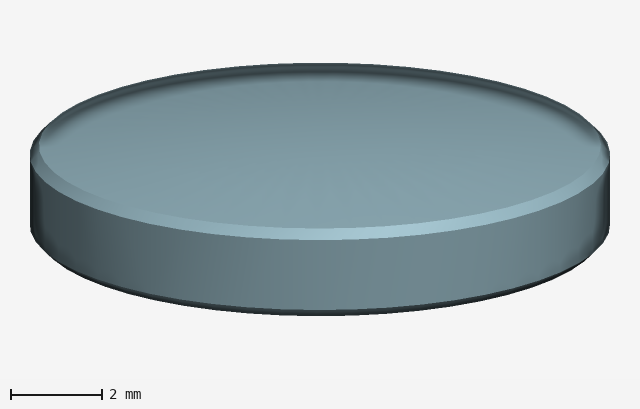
import cadquery as cq

diameter = 12.7
center_thickness = 2.73
bevel = 0.2
cylinder_height = 1.6

rim_radius = diameter / 2
face_radius = rim_radius - bevel
half_thickness = center_thickness / 2
half_cylinder = cylinder_height / 2
face_edge_z = half_cylinder + bevel

dome_rise = half_thickness - face_edge_z
sphere_radius = (face_radius**2 + dome_rise**2) / (2 * dome_rise)

mid_radius = face_radius / 2
mid_z = half_thickness - sphere_radius + (sphere_radius**2 - mid_radius**2) ** 0.5

half_section = (
    cq.Workplane("XZ")
    .moveTo(0, -half_thickness)
    .threePointArc((mid_radius, -mid_z), (face_radius, -face_edge_z))
    .lineTo(rim_radius, -half_cylinder)
    .lineTo(rim_radius, half_cylinder)
    .lineTo(face_radius, face_edge_z)
    .threePointArc((mid_radius, mid_z), (0, half_thickness))
    .close()
)

result = half_section.revolve(360, (0, 0), (0, 1))